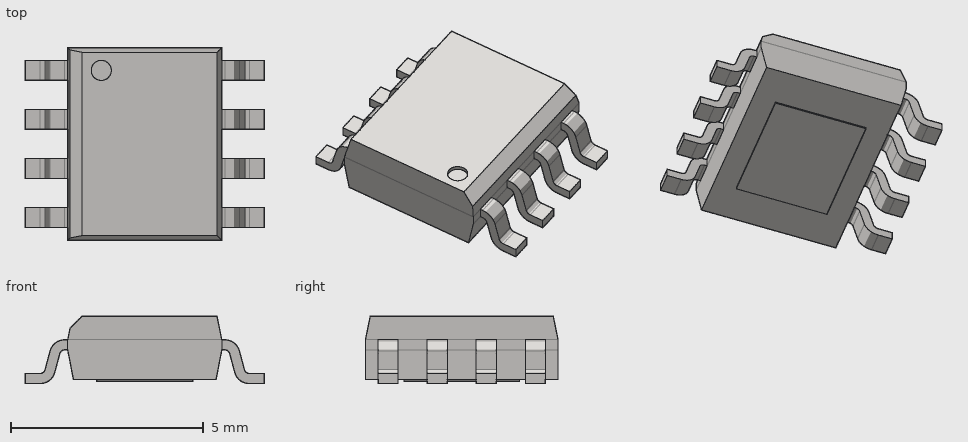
import cadquery as cq
import math

span = 6.2
body_width = 4.0
body_length = 5.0
top_z = 1.75
bottom_z = 0.105
top_taper = 0.125
bottom_taper = 0.15
bevel_drop = 0.31

lead_thickness = 0.265
lead_width = 0.52
lead_pitch = 1.27
leads_per_side = 4
shoulder_length = 0.075
inner_radius = 0.13
outer_radius = inner_radius + lead_thickness
bend_angle = 75.0
parting_z = 1.14

pad_width = 2.5
pad_length = 3.0
pad_thickness = 0.045

mark_diameter = 0.52
mark_depth = 0.1
mark_inset = 0.5

half_span = span / 2
half_width = body_width / 2
half_top_width = half_width - top_taper
band_z = parting_z - lead_thickness
lead_rows = [(i - (leads_per_side - 1) / 2) * lead_pitch for i in range(leads_per_side)]

wall_slope = top_taper / (top_z - parting_z)
bevel_bottom_x = -half_top_width - bevel_drop * wall_slope
bevel_top_x = bevel_bottom_x + bevel_drop


def make_lower_housing():
    """Straight band at lead height, with the X walls drawn in below it."""
    half_bottom_width = half_width - bottom_taper
    outline = [
        (-half_width, parting_z),
        (half_width, parting_z),
        (half_width, band_z),
        (half_bottom_width, bottom_z),
        (-half_bottom_width, bottom_z),
        (-half_width, band_z),
    ]
    return cq.Workplane("XZ").polyline(outline).close().extrude(body_length / 2, both=True)


def make_upper_housing():
    """Frustum above the parting plane, tapered on all four sides."""
    return (
        cq.Workplane("XY", origin=(0, 0, parting_z))
        .rect(body_width, body_length)
        .workplane(offset=top_z - parting_z)
        .rect(body_width - 2 * top_taper, body_length - 2 * top_taper)
        .loft(ruled=True)
    )


def make_bevel_cutter():
    """Wedge that takes the top -X edge off at 45 degrees."""
    wedge = [
        (bevel_bottom_x, top_z - bevel_drop),
        (bevel_top_x, top_z),
        (bevel_bottom_x, top_z),
    ]
    return cq.Workplane("XZ").polyline(wedge).close().extrude(body_length / 2, both=True)


def make_mark_cutter():
    """Shallow round recess beside the first lead."""
    return (
        cq.Workplane("XY", origin=(bevel_top_x + mark_inset, lead_rows[-1], top_z))
        .circle(mark_diameter / 2)
        .extrude(-mark_depth)
    )


def make_housing():
    housing = make_lower_housing().union(make_upper_housing())
    return housing.cut(make_bevel_cutter()).cut(make_mark_cutter())


def make_thermal_pad():
    """Plate against the underside of the housing."""
    return (
        cq.Workplane("XY", origin=(0, 0, bottom_z))
        .rect(pad_width, pad_length)
        .extrude(-pad_thickness)
    )


def make_lead(row_y):
    """Gull-wing lead on the +X side: shoulder, two opposite bends and a foot."""
    turn = math.radians(bend_angle)

    upper_x = half_width + shoulder_length
    upper_z = parting_z - outer_radius
    lower_z = outer_radius
    bend_reach = (outer_radius + inner_radius) * math.sin(turn)
    bend_height = (outer_radius + inner_radius) * math.cos(turn)
    leg_height = upper_z - lower_z + bend_height
    lower_x = upper_x + bend_reach + leg_height / math.tan(turn)

    def upper_point(radius, angle):
        return (upper_x + radius * math.sin(angle), upper_z + radius * math.cos(angle))

    def lower_point(radius, angle):
        return (lower_x - radius * math.sin(angle), lower_z - radius * math.cos(angle))

    profile = (
        cq.Workplane("XZ", origin=(0, row_y, 0))
        .moveTo(half_width, parting_z)
        .lineTo(*upper_point(outer_radius, 0))
        .threePointArc(upper_point(outer_radius, turn / 2), upper_point(outer_radius, turn))
        .lineTo(*lower_point(inner_radius, turn))
        .threePointArc(lower_point(inner_radius, turn / 2), lower_point(inner_radius, 0))
        .lineTo(half_span, lead_thickness)
        .lineTo(half_span, 0)
        .lineTo(*lower_point(outer_radius, 0))
        .threePointArc(lower_point(outer_radius, turn / 2), lower_point(outer_radius, turn))
        .lineTo(*upper_point(inner_radius, turn))
        .threePointArc(upper_point(inner_radius, turn / 2), upper_point(inner_radius, 0))
        .lineTo(half_width, band_z)
        .close()
    )
    return profile.extrude(lead_width / 2, both=True)


housing = make_housing()
thermal_pad = make_thermal_pad()

leads = []
for row_y in lead_rows:
    right_lead = make_lead(row_y)
    left_lead = right_lead.mirror("YZ")
    leads.append(right_lead.val())
    leads.append(left_lead.val())

result = cq.Compound.makeCompound([housing.val(), thermal_pad.val(), *leads])